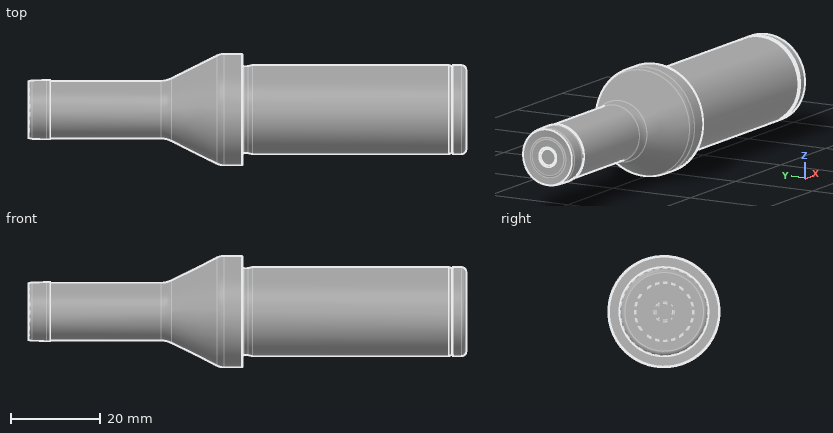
import cadquery as cq
import math

total_length = 98.0

insert_length = 4.9
insert_radius = 6.7
insert_front_radius = 6.6
insert_land_length = 1.0
insert_edge_length = 0.7
insert_face_radius = 6.4
dish_radius = 4.6
dish_depth = 0.2
ridge_radius = 4.1
ridge_depth = 0.1
recess_radius = 2.3
recess_rim_depth = 0.15
recess_floor_radius = 1.9
recess_depth = 0.3

neck_radius = 12.9 / 2
cone_start = 29.6
flange_start = 43.7
flange_radius = 25.0 / 2
cone_angle = math.radians(26.6)
cone_foot_fillet = 5.3

flange_end = 47.9
flange_chamfer_length = 0.2
flange_chamfer_height = 0.2

shank_radius = 20.0 / 2
relief_radius = 19.5 / 2
relief_end = 49.0
relief_corner_fillet = 0.3
relief_taper = 1.1
groove_start = 94.1
groove_taper = 0.6
groove_end = 95.0
end_fillet = 1.2


def revolve(profile):
    """Turn a closed (x, radius) profile about the X axis."""
    return profile.close().revolve(360, (0, 0, 0), (1, 0, 0))


def make_insert():
    profile = (
        cq.Workplane("XY")
        .moveTo(recess_depth, 0)
        .lineTo(recess_depth, recess_floor_radius)
        .lineTo(recess_rim_depth, recess_radius)
        .lineTo(ridge_depth, ridge_radius)
        .lineTo(dish_depth, dish_radius)
        .lineTo(0, insert_face_radius)
        .lineTo(insert_edge_length, insert_front_radius)
        .lineTo(insert_length - insert_land_length, insert_radius)
        .lineTo(insert_length, insert_radius)
        .lineTo(insert_length, 0)
    )
    return revolve(profile)


def arc_offset(radius, angle):
    """Axial and radial travel along an arc that starts parallel to X."""
    return radius * math.sin(angle), radius * (1 - math.cos(angle))


def cone_rim_fillet():
    """Fillet radius that lets the cone run tangent into the flange."""
    axial_gap = flange_start - cone_start
    radial_gap = flange_radius - neck_radius
    slack = axial_gap - radial_gap / math.tan(cone_angle)
    return slack / math.tan(cone_angle / 2) - cone_foot_fillet


def make_holder():
    rim_fillet = cone_rim_fillet()
    foot_mid = arc_offset(cone_foot_fillet, cone_angle / 2)
    foot_end = arc_offset(cone_foot_fillet, cone_angle)
    rim_start = arc_offset(rim_fillet, cone_angle)
    rim_mid = arc_offset(rim_fillet, cone_angle / 2)
    corner_diagonal = relief_corner_fillet * (1 - math.sqrt(0.5))
    fillet_diagonal = end_fillet * (1 - math.sqrt(0.5))

    profile = (
        cq.Workplane("XY")
        .moveTo(insert_length, 0)
        .lineTo(insert_length, neck_radius)
        .lineTo(cone_start, neck_radius)
        .threePointArc(
            (cone_start + foot_mid[0], neck_radius + foot_mid[1]),
            (cone_start + foot_end[0], neck_radius + foot_end[1]),
        )
        .lineTo(flange_start - rim_start[0], flange_radius - rim_start[1])
        .threePointArc(
            (flange_start - rim_mid[0], flange_radius - rim_mid[1]),
            (flange_start, flange_radius),
        )
        .lineTo(flange_end - flange_chamfer_length, flange_radius)
        .lineTo(flange_end, flange_radius - flange_chamfer_height)
        .lineTo(flange_end, relief_radius + relief_corner_fillet)
        .threePointArc(
            (flange_end + corner_diagonal, relief_radius + corner_diagonal),
            (flange_end + relief_corner_fillet, relief_radius),
        )
        .lineTo(relief_end, relief_radius)
        .lineTo(relief_end + relief_taper, shank_radius)
        .lineTo(groove_start, shank_radius)
        .lineTo(groove_start + groove_taper, relief_radius)
        .lineTo(groove_end, relief_radius)
        .lineTo(groove_end, shank_radius)
        .lineTo(total_length - end_fillet, shank_radius)
        .threePointArc(
            (total_length - fillet_diagonal, shank_radius - fillet_diagonal),
            (total_length, shank_radius - end_fillet),
        )
        .lineTo(total_length, 0)
    )
    return revolve(profile)


insert = make_insert()
holder = make_holder()

result = cq.Compound.makeCompound([insert.val(), holder.val()])